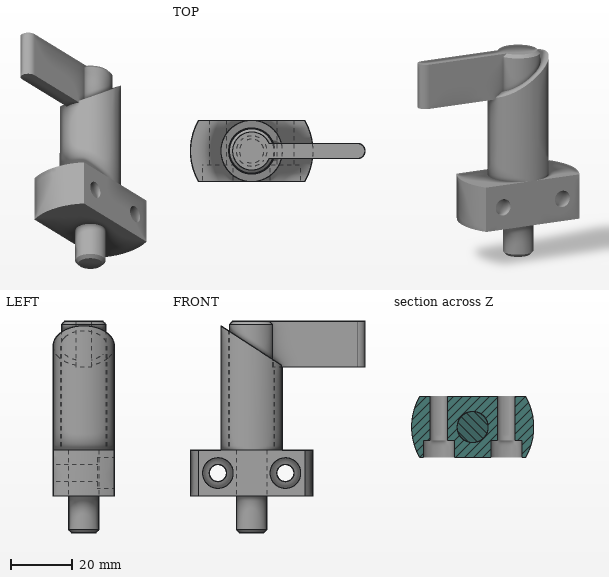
import cadquery as cq
import math

total_height = 69.0
block_bottom = 12.0
block_height = 15.0
block_top = block_bottom + block_height

barrel_radius = 10.0
block_end_radius = 2 * barrel_radius
block_depth = 2 * barrel_radius
rim_peak = 67.5
rim_angle = 33.0

screw_spacing = 22.0
screw_diameter = 5.5
counterbore_diameter = 10.0
counterbore_depth = 5.5

bore_radius = 7.5
knob_radius = 7.25
pin_radius = 5.0
edge_chamfer = 1.05
lever_height = block_height
lever_thickness = 5.05
lever_reach = 37.0
lever_bottom = total_height - lever_height


def cylinder(radius, bottom, top):
    """Upright cylinder on the Z axis."""
    return cq.Workplane("XY").workplane(offset=bottom).circle(radius).extrude(top - bottom)


def make_block():
    """Disc trimmed to two flat sides."""
    disc = cylinder(block_end_radius, block_bottom, block_top)
    slab = cq.Workplane("XY").box(2 * block_end_radius, block_depth, 2 * total_height)
    return disc.intersect(slab)


def make_barrel():
    """Tube blank whose top is cut by a plane falling towards +X."""
    rim_low = rim_peak - 2 * barrel_radius * math.tan(math.radians(rim_angle))
    profile = (
        cq.Workplane("XZ")
        .moveTo(-barrel_radius, block_top)
        .lineTo(-barrel_radius, rim_peak)
        .lineTo(barrel_radius, rim_low)
        .lineTo(barrel_radius, block_top)
        .close()
        .extrude(barrel_radius, both=True)
    )
    return cylinder(barrel_radius, block_top, total_height).intersect(profile)


def make_lever():
    """Flat lever with a full-round outer end."""
    tip_radius = lever_thickness / 2
    straight = lever_reach - tip_radius
    return (
        cq.Workplane("XY")
        .workplane(offset=lever_bottom)
        .moveTo(0, -tip_radius)
        .lineTo(straight, -tip_radius)
        .threePointArc((lever_reach, 0), (straight, tip_radius))
        .lineTo(0, tip_radius)
        .close()
        .extrude(lever_height)
    )


def make_housing():
    """Block and barrel with the stepped bore, lever clearance and screw holes."""
    body = make_block().union(make_barrel())
    body = body.cut(cylinder(pin_radius, 0, block_top))
    body = body.cut(cylinder(bore_radius, block_top, total_height))
    body = body.cut(make_lever())
    return (
        body.faces("<Y")
        .workplane(origin=(0, -block_depth / 2, block_bottom + block_height / 2))
        .pushPoints([(-screw_spacing / 2, 0), (screw_spacing / 2, 0)])
        .cboreHole(screw_diameter, counterbore_diameter, counterbore_depth)
    )


def make_plunger():
    """Locking pin, knob and lever in one piece."""
    pin = cylinder(pin_radius, 0, block_top).faces("<Z").chamfer(edge_chamfer)
    knob = cylinder(knob_radius, block_top, total_height).faces(">Z").chamfer(edge_chamfer)
    return pin.union(knob).union(make_lever())


housing = make_housing()
plunger = make_plunger()
result = cq.Compound.makeCompound([housing.val(), plunger.val()])